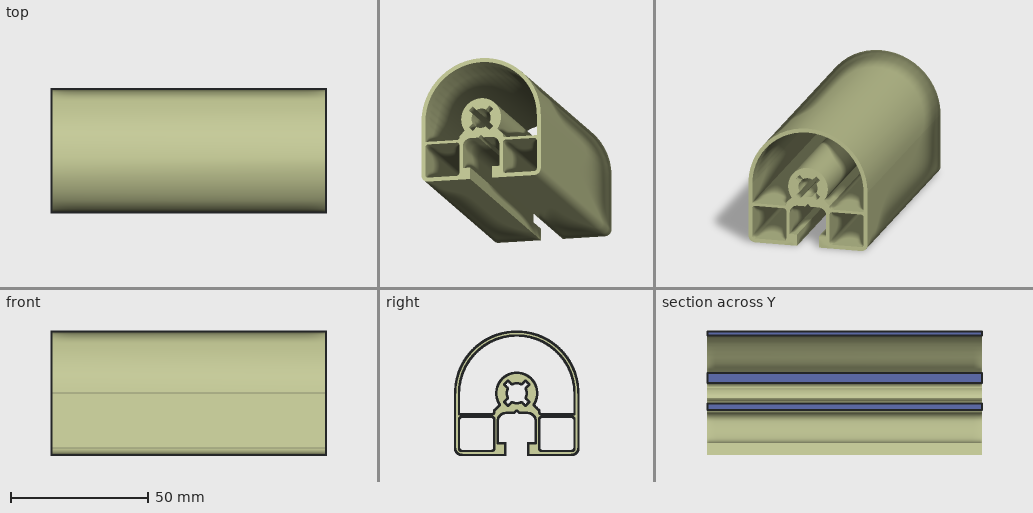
import cadquery as cq
import math

length = 100
width = 45
outer_radius = width / 2
base_z = -outer_radius
wall = 1.5
inner_radius = outer_radius - wall
bottom_corner_radius = 2.5

chamber_inner_y = 8.2
web_top_z = -7.6
web_thickness = 1
web_bottom_z = web_top_z - web_thickness
chamber_corner_radius = 1

boss_radius = 7.5
shoulder_z = -6.3
boss_root_radius = 0.2
web_root_radius = 0.8
bore_radius = 3.6
relief_radius = 5.5
relief_width = 2

shoulder_offset = chamber_inner_y + shoulder_z
half_chord = math.sqrt(2 * boss_radius**2 - shoulder_offset**2) / 2
boss_root_y = shoulder_offset / 2 + half_chord
boss_root_z = shoulder_offset / 2 - half_chord

slot_half_width = 6.9
slot_top_z = -7.2
slot_corner_radius = 3
mouth_half_width = 4.1
lip_top_z = -18.2
notch_depth = 1

overshoot = 1


def prism(outline):
    """Extrude a closed YZ outline over the full length, centred on X."""
    return outline.extrude(length / 2, both=True)


def section():
    return cq.Workplane("YZ")


def make_outer_body():
    body = prism(
        section()
        .moveTo(-outer_radius, base_z)
        .lineTo(outer_radius, base_z)
        .lineTo(outer_radius, 0)
        .threePointArc((0, outer_radius), (-outer_radius, 0))
        .close()
    )
    return body.faces("<Z").edges("|X").fillet(bottom_corner_radius)


def make_dome_chamber():
    return prism(
        section()
        .moveTo(-inner_radius, web_top_z)
        .lineTo(inner_radius, web_top_z)
        .lineTo(inner_radius, 0)
        .threePointArc((0, inner_radius), (-inner_radius, 0))
        .close()
    )


def make_boss():
    """Round boss on 45-degree shoulders, standing on the web."""
    return prism(
        section()
        .moveTo(-chamber_inner_y, web_top_z)
        .lineTo(chamber_inner_y, web_top_z)
        .lineTo(chamber_inner_y, shoulder_z)
        .lineTo(boss_root_y, boss_root_z)
        .threePointArc((0, boss_radius), (-boss_root_y, boss_root_z))
        .lineTo(-chamber_inner_y, shoulder_z)
        .close()
    )


def edges_at(body, y, z):
    """Lengthwise edges at (+y, z) and (-y, z)."""
    tolerance = 0.01
    return body.edges(
        cq.selectors.BoxSelector(
            (-tolerance, y - tolerance, z - tolerance), (tolerance, y + tolerance, z + tolerance)
        )
        + cq.selectors.BoxSelector(
            (-tolerance, -y - tolerance, z - tolerance), (tolerance, -y + tolerance, z + tolerance)
        )
    )


def make_side_chamber(side):
    chamber_width = inner_radius - chamber_inner_y
    floor_z = base_z + wall
    center_y = side * (inner_radius + chamber_inner_y) / 2
    center_z = (web_bottom_z + floor_z) / 2
    chamber = prism(section().center(center_y, center_z).rect(chamber_width, web_bottom_z - floor_z))
    return chamber.edges("|X").fillet(chamber_corner_radius)


def make_slot():
    slot = prism(
        section()
        .moveTo(-slot_half_width, lip_top_z)
        .lineTo(slot_half_width, lip_top_z)
        .lineTo(slot_half_width, slot_top_z)
        .lineTo(-slot_half_width, slot_top_z)
        .close()
    )
    slot = slot.faces(">Z").edges("|X").fillet(slot_corner_radius)
    mouth_height = lip_top_z - base_z + 2 * overshoot
    mouth = prism(
        section().center(0, base_z - overshoot + mouth_height / 2).rect(2 * mouth_half_width, mouth_height)
    )
    notch = prism(
        section()
        .polyline([(-notch_depth, slot_top_z), (notch_depth, slot_top_z), (0, slot_top_z + notch_depth)])
        .close()
    )
    return slot.union(mouth).union(notch)


def make_bore():
    """Round bore with four diagonal reliefs that end on a larger circle."""
    bore = prism(section().circle(bore_radius))
    relief_limit = prism(section().circle(relief_radius))
    for angle in (45, -45):
        bar = prism(section().rect(2 * relief_radius, relief_width))
        bar = bar.rotate((0, 0, 0), (1, 0, 0), angle)
        bore = bore.union(bar.intersect(relief_limit))
    return bore


result = make_outer_body().cut(make_dome_chamber()).union(make_boss())
result = edges_at(result, boss_root_y, boss_root_z).fillet(boss_root_radius)
result = edges_at(result, chamber_inner_y, web_top_z).fillet(web_root_radius)
for side in (-1, 1):
    result = result.cut(make_side_chamber(side))
result = result.cut(make_slot()).cut(make_bore())